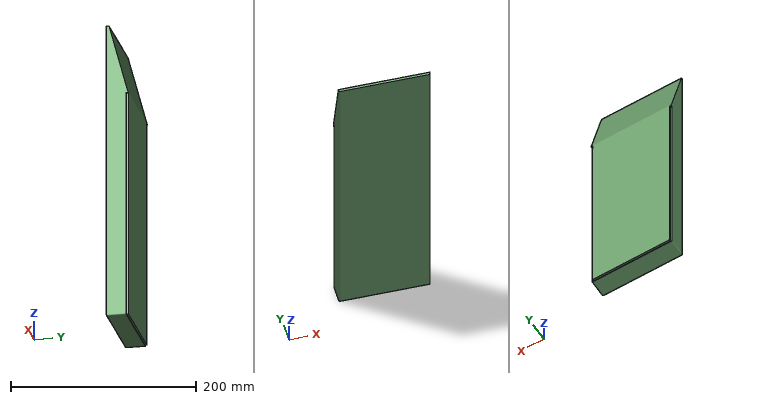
import cadquery as cq

width = 102.2
thickness = 24.5
height = 334.0
tip_thickness = 3.5
bevel_height = 77.8
front_radius = 2.0
bottom_corner_radius = 1.0

rebate_depth = 2.0
rebate_side_inset = 2.0
rebate_bottom_inset = 1.0
lip_height = 0.7

bevel_start = height - bevel_height
rebate_top = bevel_start - lip_height


def beveled_bar():
    """Bar extruded across its width from the side profile with the bevel at the upper back."""
    profile = [
        (0, 0),
        (thickness, 0),
        (thickness, bevel_start),
        (tip_thickness, height),
        (0, height),
    ]
    return cq.Workplane("YZ").polyline(profile).close().extrude(width / 2, both=True)


def round_edges(bar):
    """Round the two bottom corners, then the front edges along both sides and the bottom."""
    bar = bar.edges("|Y and <Z").fillet(bottom_corner_radius)
    front_edges = bar.faces("<Y").edges("not >Z")
    return front_edges.fillet(front_radius)


def back_slab(side_inset, bottom_inset):
    """Slab at the back, up to the rebate top, pulled in from both sides and the bottom."""
    slab_width = width - 2 * side_inset
    slab_height = rebate_top - bottom_inset
    slab = cq.Workplane("XY").box(slab_width, rebate_depth, slab_height, centered=(True, False, False))
    return slab.translate((0, thickness - rebate_depth, bottom_inset))


rebate = back_slab(0, 0).cut(back_slab(rebate_side_inset, rebate_bottom_inset))
result = round_edges(beveled_bar()).cut(rebate)